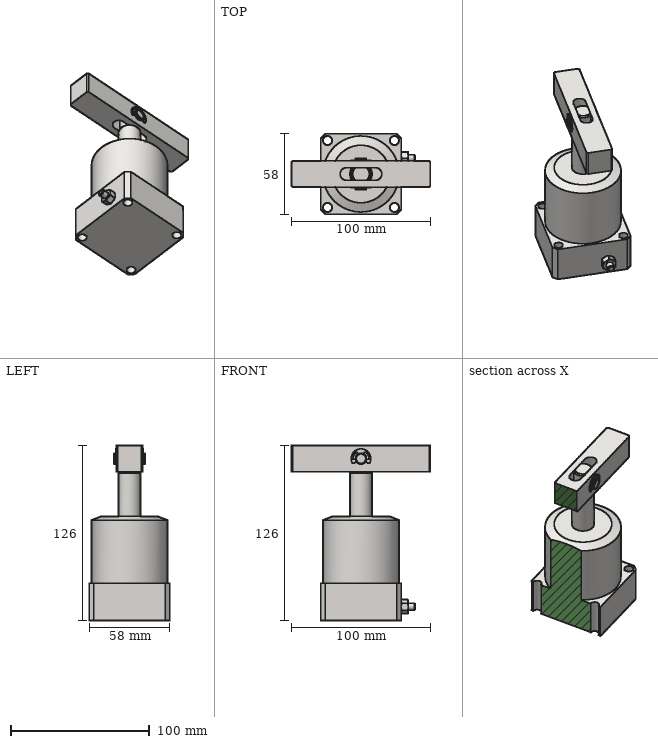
import cadquery as cq
import math

total_height = 126.0

base_side = 58.0
base_height = 27.0
base_corner_chamfer = 3.3
mount_hole_diameter = 6.4
mount_hole_offset = 24.1
barrel_diameter = 54.8
barrel_top = 75.0
barrel_chamfer_height = 2.6
barrel_chamfer_width = 6.7

arm_length = 100.0
arm_side = 19.0
arm_corner_chamfer = 1.0
slot_length = 30.0
slot_width = 9.0
arm_bottom = total_height - arm_side

rod_diameter = 16.0
shoulder_chamfer = 1.0
tongue_diameter = rod_diameter - 2 * shoulder_chamfer
tongue_chamfer = 1.0

pin_diameter = 8.0
pin_length = 22.9
pin_chamfer = 0.5
pin_height = arm_bottom + arm_side / 2
groove_diameter = 6.5

clip_thickness = 0.5
clip_radius = 7.0
clip_recess_radius = 5.8
clip_recess_bottom = -0.3
clip_recess_top = 4.7
clip_top_tab_width = 5.0
clip_mouth_angle = 116.0
clip_tip_fillet = 0.8

hex_flats = 9.1
hex_length = 4.9
hex_corner_cut = 0.5
stub_diameter = 5.2
stub_length = 5.0
stub_chamfer = 0.6
fitting_y = 11.3
fitting_height = 10.0


def rod_axis_plane(z):
    """Horizontal workplane at height z, centred on the rod axis."""
    return cq.Workplane("XY").workplane(offset=z)


def cross_cylinder(diameter, y_start, length):
    """Cylinder on the pin axis, running toward +Y from y_start."""
    plane = cq.Plane(origin=(0, y_start, pin_height), xDir=(-1, 0, 0), normal=(0, 1, 0))
    return cq.Workplane(plane).circle(diameter / 2).extrude(length)


def make_housing():
    base = (
        cq.Workplane("XY")
        .box(base_side, base_side, base_height, centered=(True, True, False))
        .edges("|Z")
        .chamfer(base_corner_chamfer)
    )
    barrel = (
        rod_axis_plane(base_height)
        .circle(barrel_diameter / 2)
        .extrude(barrel_top - base_height)
        .faces(">Z")
        .chamfer(barrel_chamfer_height, barrel_chamfer_width)
    )
    mount_holes = (
        cq.Workplane("XY")
        .rect(2 * mount_hole_offset, 2 * mount_hole_offset, forConstruction=True)
        .vertices()
        .circle(mount_hole_diameter / 2)
        .extrude(base_height)
    )
    return base.cut(mount_holes).union(barrel)


def make_arm():
    slot = rod_axis_plane(arm_bottom).slot2D(slot_length, slot_width).extrude(arm_side)
    return (
        rod_axis_plane(arm_bottom)
        .box(arm_length, arm_side, arm_side, centered=(True, True, False))
        .edges("|Z")
        .chamfer(arm_corner_chamfer)
        .cut(slot)
        .cut(cross_cylinder(pin_diameter, -arm_side / 2, arm_side))
    )


def make_rod():
    shaft = (
        rod_axis_plane(barrel_top)
        .circle(rod_diameter / 2)
        .extrude(arm_bottom - barrel_top)
        .faces(">Z")
        .chamfer(shoulder_chamfer)
    )
    tongue_flats = rod_axis_plane(arm_bottom).rect(rod_diameter, slot_width).extrude(arm_side)
    tongue = (
        rod_axis_plane(arm_bottom)
        .circle(tongue_diameter / 2)
        .extrude(arm_side)
        .faces(">Z")
        .chamfer(tongue_chamfer)
        .intersect(tongue_flats)
    )
    return shaft.union(tongue).cut(cross_cylinder(pin_diameter, -slot_width / 2, slot_width))


def clip_start(side):
    """Y where the clip at the -Y (side = -1) or +Y (side = 1) end begins."""
    return arm_side / 2 if side > 0 else -arm_side / 2 - clip_thickness


def make_pin():
    pin = cross_cylinder(pin_diameter, -pin_length / 2, pin_length).faces("<Y or >Y").chamfer(pin_chamfer)
    for side in (-1, 1):
        ring = cross_cylinder(pin_diameter, clip_start(side), clip_thickness)
        core = cross_cylinder(groove_diameter, clip_start(side), clip_thickness)
        pin = pin.cut(ring.cut(core))
    return pin


def make_clip(side):
    start = clip_start(side)
    plane = cq.Plane(origin=(0, start, pin_height), xDir=(-1, 0, 0), normal=(0, 1, 0))
    disc = cross_cylinder(2 * clip_radius, start, clip_thickness)
    mouth_reach = 2 * clip_radius
    mouth_half_width = mouth_reach * math.tan(math.radians(clip_mouth_angle / 2))
    mouth = (
        cq.Workplane(plane)
        .polyline([(0, 0), (mouth_half_width, -mouth_reach), (-mouth_half_width, -mouth_reach)])
        .close()
        .extrude(clip_thickness)
    )
    recess_band = (
        cq.Workplane(plane)
        .center(0, clip_recess_bottom)
        .rect(2 * clip_radius, clip_recess_top - clip_recess_bottom, centered=(True, False))
        .extrude(clip_thickness)
    )
    top_tab = (
        cq.Workplane(plane)
        .rect(clip_top_tab_width, clip_radius, centered=(True, False))
        .extrude(clip_thickness)
    )
    recesses = (
        cross_cylinder(2 * clip_recess_radius, start, clip_thickness)
        .intersect(recess_band)
        .cut(top_tab)
    )
    bore = cross_cylinder(groove_diameter, start, clip_thickness)
    blank = disc.cut(mouth).edges("|Y").edges("<Z").fillet(clip_tip_fillet)
    return blank.cut(recesses).cut(bore)


def make_fitting():
    plane = cq.Plane(origin=(base_side / 2, fitting_y, fitting_height), xDir=(0, 1, 0), normal=(1, 0, 0))
    hex_corners = hex_flats / math.cos(math.pi / 6)
    rounded_ends = (
        cq.Workplane(plane)
        .circle(hex_corners / 2)
        .extrude(hex_length)
        .faces("<X or >X")
        .chamfer(hex_corner_cut)
    )
    nut = (
        cq.Workplane(plane)
        .transformed(rotate=(0, 0, 90))
        .polygon(6, hex_corners)
        .extrude(hex_length)
        .intersect(rounded_ends)
    )
    stub = (
        cq.Workplane(plane)
        .workplane(offset=hex_length)
        .circle(stub_diameter / 2)
        .extrude(stub_length)
        .faces(">X")
        .chamfer(stub_chamfer)
    )
    return nut.union(stub)


housing = make_housing()
rod = make_rod()
arm = make_arm()
pin = make_pin()
clips = [make_clip(side) for side in (-1, 1)]
fitting = make_fitting()

result = cq.Compound.makeCompound(
    [housing.val(), rod.val(), arm.val(), pin.val(), *[clip.val() for clip in clips], fitting.val()]
)